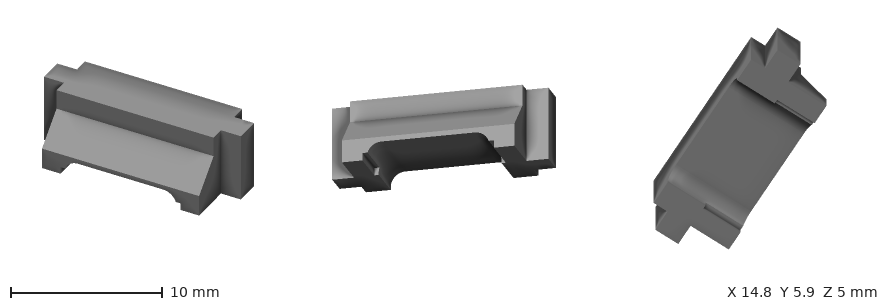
import cadquery as cq

overall_length = 14.8
depth = 5.9
height = 5.0

tab_length = 1.5
body_length = overall_length - 2 * tab_length
slope_run = 2.0
toe_height = 1.54

tab_width = 1.8
tab_back_setback = 1.1

channel_width = 8.4
channel_height = 1.2
channel_corner_radius = 1.0

mouth_width = 9.0
mouth_height = 0.52
mouth_depth = depth / 2

front_y = -depth / 2
back_y = depth / 2


def make_body():
    """Side profile in the YZ plane, extruded along X."""
    profile = [
        (back_y, 0),
        (back_y, height),
        (front_y + slope_run, height),
        (front_y + slope_run, toe_height + slope_run),
        (front_y, toe_height),
        (front_y, 0),
    ]
    return cq.Workplane("YZ").polyline(profile).close().extrude(body_length / 2, both=True)


def make_tabs():
    """One full-length bar through the body forms both end tabs."""
    tab_center_y = back_y - tab_back_setback - tab_width / 2
    return (
        cq.Workplane("XY")
        .center(0, tab_center_y)
        .rect(overall_length, tab_width)
        .extrude(height)
    )


def make_channel():
    """Channel with rounded upper corners, open at the front, back and bottom."""
    return (
        cq.Workplane("XY")
        .rect(channel_width, depth)
        .extrude(channel_height)
        .edges("|Y and >Z")
        .fillet(channel_corner_radius)
    )


def make_mouth():
    """Low rectangular step cut into the front half of the channel."""
    return (
        cq.Workplane("XY")
        .center(0, front_y + mouth_depth / 2)
        .rect(mouth_width, mouth_depth)
        .extrude(mouth_height)
    )


result = make_body().union(make_tabs()).cut(make_channel()).cut(make_mouth())